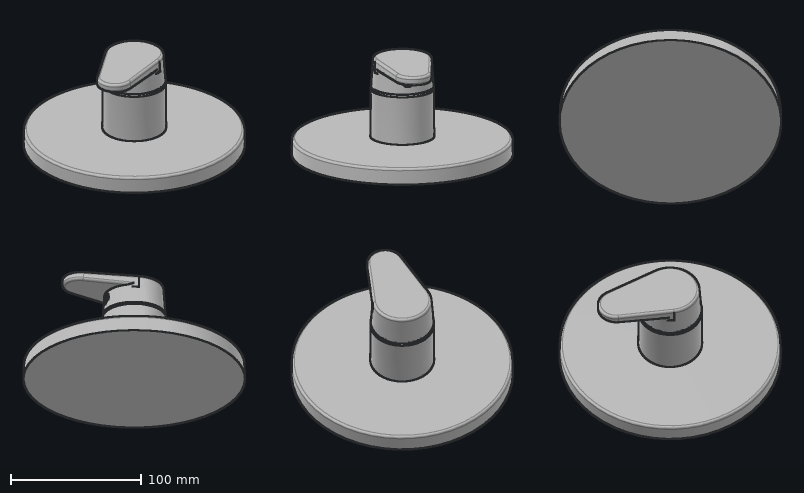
import cadquery as cq
import math

plate_radius = 85.0
rim_top_radius = 84.7
rim_height = 13.1
rim_fillet = 2.0
face_center_height = 14.8

column_base_radius = 24.6
column_waist_radius = 24.3
column_top_radius = 24.5
column_top = 52.2

groove_radius = 23.1
groove_top = 54.0

body_bottom_radius = 24.1
head_radius = 22.6
total_height = 77.9
ledge_height = 67.7

lever_tip_radius = 14.0
lever_reach = 58.0
lever_tip_y = lever_tip_radius - lever_reach
lever_top_fillet = 2.0
lever_bottom_fillet = 2.0
underside_root_height = 69.0
underside_tip_height = 70.9

recess_radius = 4.2
recess_height = 64.3
recess_depth = 1.0

selection_margin = 0.2

side_angle = math.asin((head_radius - lever_tip_radius) / -lever_tip_y)
side_cos = math.cos(side_angle)
side_sin = math.sin(side_angle)
head_tangent_x = head_radius * side_cos
head_tangent_y = -head_radius * side_sin
tip_tangent_x = lever_tip_radius * side_cos
tip_tangent_y = lever_tip_y - lever_tip_radius * side_sin


def make_plate():
    blank = (
        cq.Workplane("XZ")
        .moveTo(0, 0)
        .lineTo(plate_radius, 0)
        .lineTo(rim_top_radius, rim_height)
        .lineTo(0, face_center_height)
        .close()
        .revolve(360, (0, 0, 0), (0, 1, 0))
    )
    rim_edge = cq.selectors.BoxSelector(
        (-plate_radius, -plate_radius, rim_height - selection_margin),
        (plate_radius, plate_radius, rim_height + selection_margin),
        boundingbox=True,
    )
    return blank.edges(rim_edge).fillet(rim_fillet)


def make_column_and_body():
    waist_height = (rim_height + column_top) / 2
    return (
        cq.Workplane("XZ")
        .moveTo(0, rim_height)
        .lineTo(column_base_radius, rim_height)
        .threePointArc((column_waist_radius, waist_height), (column_top_radius, column_top))
        .lineTo(groove_radius, groove_top)
        .lineTo(body_bottom_radius, groove_top)
        .lineTo(head_radius, total_height - lever_top_fillet)
        .radiusArc((head_radius - lever_top_fillet, total_height), -lever_top_fillet)
        .lineTo(0, total_height)
        .close()
        .revolve(360, (0, 0, 0), (0, 1, 0))
    )


def lever_prism(bottom, top):
    return (
        cq.Workplane("XY", origin=(0, 0, bottom))
        .moveTo(head_tangent_x, head_tangent_y)
        .threePointArc((0, head_radius), (-head_tangent_x, head_tangent_y))
        .lineTo(-tip_tangent_x, tip_tangent_y)
        .threePointArc((0, -lever_reach), (tip_tangent_x, tip_tangent_y))
        .close()
        .extrude(top - bottom)
    )


def make_lever():
    side_profile = (
        cq.Workplane("YZ")
        .moveTo(head_radius, underside_root_height)
        .lineTo(0, underside_root_height)
        .lineTo(-lever_reach, underside_tip_height)
        .lineTo(-lever_reach, total_height)
        .lineTo(head_radius, total_height)
        .close()
        .extrude(head_radius, both=True)
    )
    lever = lever_prism(ledge_height, total_height).intersect(side_profile)
    lever = lever.faces(">Z").edges().fillet(lever_top_fillet)
    lower_edges = cq.selectors.BoxSelector(
        (-head_radius, -lever_reach - selection_margin, underside_root_height),
        (head_radius, head_tangent_y - selection_margin, underside_tip_height + selection_margin),
    )
    return lever.edges(lower_edges).fillet(lever_bottom_fillet)


def ledge_cutter():
    cutter_size = 2 * body_bottom_radius
    front_block = (
        cq.Workplane("XY", origin=(0, head_tangent_y - cutter_size / 2, ledge_height))
        .rect(cutter_size, cutter_size)
        .extrude(total_height - ledge_height)
    )
    return front_block.cut(lever_prism(ledge_height, total_height))


def recess_cutter():
    height_share = (recess_height - groove_top) / (total_height - lever_top_fillet - groove_top)
    surface_radius = body_bottom_radius + height_share * (head_radius - body_bottom_radius)
    return (
        cq.Workplane("XZ", origin=(0, recess_depth - surface_radius, recess_height))
        .circle(recess_radius)
        .extrude(surface_radius)
    )


handle = make_column_and_body().cut(ledge_cutter()).cut(recess_cutter())
result = make_plate().union(handle).union(make_lever())